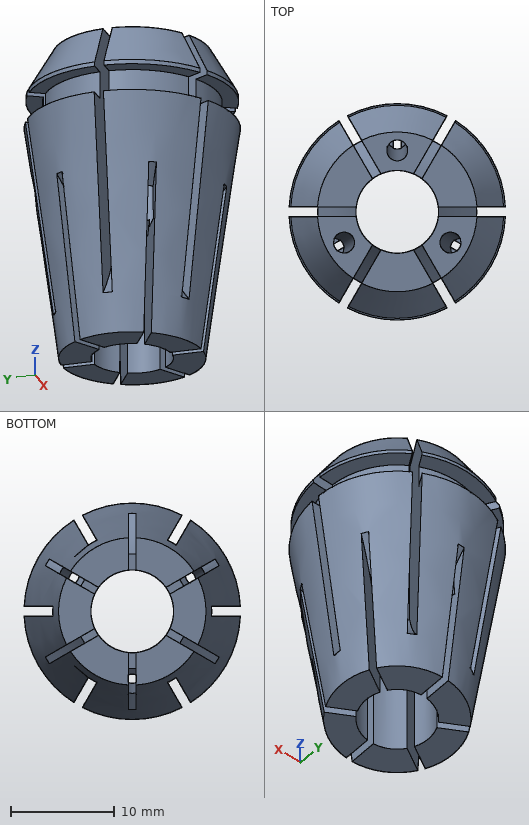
import cadquery as cq
import math

height = 31.5
bore_radius = 4.0
nose_radius = 7.15
body_diameter = 21.0
body_radius = body_diameter / 2
body_height = 23.9

neck_radius = 8.73
head_bottom = 26.65
head_rim_top = 27.1
head_radius = 10.33
head_top_radius = 7.75

slots_per_end = 6
slot_pitch = 360 / slots_per_end
saw_radius = 20.48
clearance = 1.58

upper_slot_width = 0.95
upper_slot_outer_end = 4.03
upper_slot_bore_end = 9.95

lower_slot_width = 0.75
lower_slot_outer_end = 16.85
lower_slot_bore_end = 10.77
lower_slot_arc_start = 5.55

hole_count = 3
first_hole_angle = 90
hole_radius = 1.0
hole_top_position = 5.95
hole_bottom_position = 7.15
hole_bottom = 11.47


def taper_radius(z):
    """Radius of the tapered body at height z."""
    return nose_radius + (body_radius - nose_radius) * z / body_height


def turned_blank():
    """Revolved body, neck and head with the through bore."""
    return (
        cq.Workplane("XZ")
        .moveTo(bore_radius, 0)
        .lineTo(nose_radius, 0)
        .lineTo(body_radius, body_height)
        .lineTo(neck_radius, body_height)
        .lineTo(neck_radius, head_bottom)
        .lineTo(head_radius, head_bottom)
        .lineTo(head_radius, head_rim_top)
        .lineTo(head_top_radius, height)
        .lineTo(bore_radius, height)
        .close()
        .revolve(360, (0, 0, 0), (0, 1, 0))
    )


def saw_arc_midpoint(arc_start, bore_end, outer_end):
    """Middle of the blade arc; it bulges toward the uncut metal on the bore side."""
    outer_x = taper_radius(outer_end)
    run = outer_x - arc_start
    rise = outer_end - bore_end
    chord = math.hypot(run, rise)
    bulge = saw_radius - math.sqrt(saw_radius**2 - (chord / 2) ** 2)
    middle_x = (arc_start + outer_x) / 2 - bulge * abs(rise) / chord
    middle_z = (bore_end + outer_end) / 2 + bulge * run / chord * math.copysign(1, rise)
    return middle_x, middle_z


def slot_cutter(width, arc_start, bore_end, outer_end, open_end):
    """One radial slot along +X, open at height open_end.

    Its closed end runs level from the bore to arc_start, then follows the blade arc to the taper.
    """
    inside = bore_radius / 2
    outside = body_radius + clearance
    return (
        cq.Workplane("XZ")
        .moveTo(inside, open_end)
        .lineTo(inside, bore_end)
        .lineTo(arc_start, bore_end)
        .threePointArc(
            saw_arc_midpoint(arc_start, bore_end, outer_end),
            (taper_radius(outer_end), outer_end),
        )
        .lineTo(outside, outer_end)
        .lineTo(outside, open_end)
        .close()
        .extrude(width / 2, both=True)
    )


def hole_cutter():
    """One flat-bottomed hole above +X, leaning outward toward its bottom."""
    lean = cq.Vector(hole_top_position - hole_bottom_position, 0, height - hole_bottom)
    bottom = cq.Vector(hole_bottom_position, 0, hole_bottom)
    return cq.Workplane(cq.Solid.makeCylinder(hole_radius, lean.Length + clearance, bottom, lean))


def cut_around(part, cutter, count, first_angle):
    """Cut count evenly spaced copies of the cutter about the collet axis."""
    for index in range(count):
        angle = first_angle + index * 360 / count
        part = part.cut(cutter.rotate((0, 0, 0), (0, 0, 1), angle))
    return part


upper_slot = slot_cutter(
    upper_slot_width,
    bore_radius,
    upper_slot_bore_end,
    upper_slot_outer_end,
    height + clearance,
)
lower_slot = slot_cutter(
    lower_slot_width,
    lower_slot_arc_start,
    lower_slot_bore_end,
    lower_slot_outer_end,
    -clearance,
)

result = turned_blank()
result = cut_around(result, upper_slot, slots_per_end, 0)
result = cut_around(result, lower_slot, slots_per_end, slot_pitch / 2)
result = cut_around(result, hole_cutter(), hole_count, first_hole_angle)